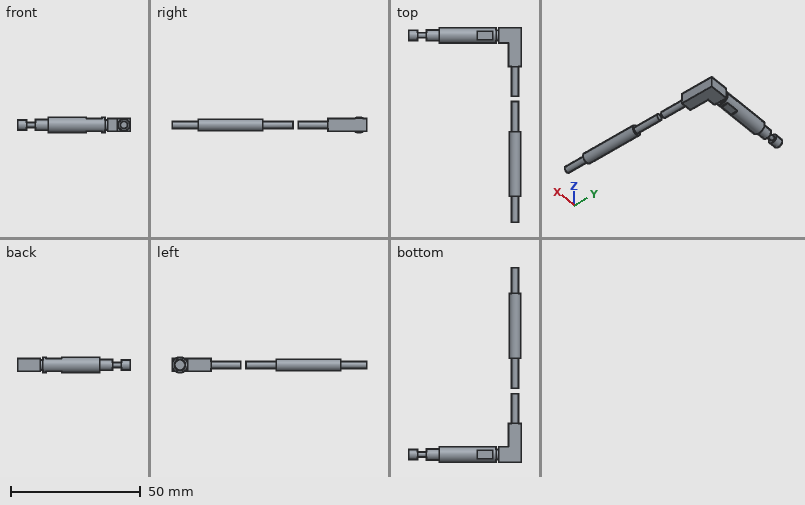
import cadquery as cq

head_diameter = 4.0
head_end = 3.5
stem_diameter = 2.0
stem_end = 6.8
nose_diameter = 4.3
nose_end = 11.8
barrel_diameter = 6.0
barrel_end = 33.75
collar_diameter = 4.0
collar_end = 34.7

flat_start = 26.5
flat_length = 6.0
across_flats = 5.0

elbow_end_x = 43.5
elbow_leg_width = 5.0
elbow_height = 5.0
elbow_back_y = barrel_diameter / 2
elbow_inner_y = -barrel_diameter / 2
elbow_end_y = -12.0

overall_length = 75.0
cable_diameter = 2.8
cable_x = elbow_end_x - elbow_leg_width / 2
lead_length = 11.5
cable_gap = 1.95
free_end_y = elbow_back_y - overall_length
sleeve_diameter = 4.5
sleeve_length = 25.0
sleeve_to_free_end = 10.0


def cylinder_x(diameter, start_x, end_x):
    """Cylinder on the plunger axis."""
    return cq.Workplane("YZ", origin=(start_x, 0, 0)).circle(diameter / 2).extrude(end_x - start_x)


def cylinder_y(diameter, start_y, length):
    """Cylinder on the cable axis, running from start_y toward -Y."""
    return cq.Workplane("XZ", origin=(cable_x, start_y, 0)).circle(diameter / 2).extrude(length)


def make_flatted_barrel():
    barrel = cylinder_x(barrel_diameter, nose_end, barrel_end)
    cut_depth = (barrel_diameter - across_flats) / 2
    cut_offset = across_flats / 2 + cut_depth / 2
    for side in (1, -1):
        flat_cut = cq.Workplane("XY").box(flat_length, barrel_diameter, cut_depth)
        barrel = barrel.cut(flat_cut.translate((flat_start + flat_length / 2, 0, side * cut_offset)))
    return barrel


def make_elbow():
    inner_x = elbow_end_x - elbow_leg_width
    outline = [
        (collar_end, elbow_back_y),
        (elbow_end_x, elbow_back_y),
        (elbow_end_x, elbow_end_y),
        (inner_x, elbow_end_y),
        (inner_x, elbow_inner_y),
        (collar_end, elbow_inner_y),
    ]
    return cq.Workplane("XY").polyline(outline).close().extrude(elbow_height / 2, both=True)


def make_probe():
    """Stepped plunger, flatted barrel, elbow and the cable lead as one solid."""
    probe = cylinder_x(head_diameter, 0, head_end)
    probe = probe.union(cylinder_x(stem_diameter, head_end, stem_end))
    probe = probe.union(cylinder_x(nose_diameter, stem_end, nose_end))
    probe = probe.union(make_flatted_barrel())
    probe = probe.union(cylinder_x(collar_diameter, barrel_end, collar_end))
    probe = probe.union(make_elbow())
    return probe.union(cylinder_y(cable_diameter, elbow_end_y, lead_length))


def make_sleeved_cable():
    """Free part of the cable with its sleeve as one solid."""
    cable_start_y = elbow_end_y - lead_length - cable_gap
    sleeve_start_y = free_end_y + sleeve_to_free_end + sleeve_length
    cable = cylinder_y(cable_diameter, cable_start_y, cable_start_y - free_end_y)
    return cable.union(cylinder_y(sleeve_diameter, sleeve_start_y, sleeve_length))


probe = make_probe()
sleeved_cable = make_sleeved_cable()

result = cq.Compound.makeCompound([probe.val(), sleeved_cable.val()])